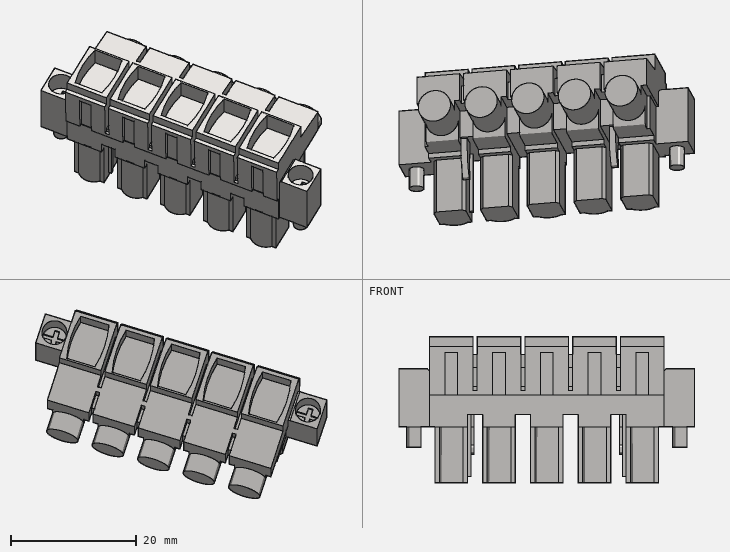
import cadquery as cq


overall_length = 47.15
body_length = 37.45
pole_count = 5
pole_width = 7.0
pitch = (body_length - pole_width) / (pole_count - 1)
pole_centers = [(i - (pole_count - 1) / 2) * pitch for i in range(pole_count)]
gap_centers = [x + pitch / 2 for x in pole_centers[:-1]]
gap_width = pitch - pole_width
end_poles = [(pole_centers[0], 1), (pole_centers[-1], -1)]

base_bottom = 8.95
base_rear_bottom = 9.75
notch_top = 10.9
lip_bottom = 14.05
block_bottom = 15.4
slope_low = 20.0
slope_high = 20.7
lip_top = 21.75
block_top = 23.35

lip_top_front = -0.65
lip_bottom_front = -0.42
base_step_rear = 7.2
tower_rear = 8.25
base_rear = 10.1
holder_rear = 11.5
block_rear = 14.55
barrel_rear = 17.65

leg_width = 5.25
leg_front = 0.1
leg_rear = 6.2
leg_flat_front = 0.9
leg_chamfer = 0.5
holder_fillet = 0.45
barrel_radius = 2.65
barrel_height = 13.5
side_inset = 0.4

well_front = 0.6
well_rear = 7.95
well_end_width = 4.7
well_middle_width = 5.6
well_depth = 3.25
recess_width = 2.05
recess_top = 20.8
recess_floor = 0.1

gap_floor = 18.45
front_gap_floor = 14.75
front_gap_rear = 0.75
web_front = 10.15
web_rear = 10.95
septum_rear = 13.2

rib_size = 0.55
rib_front = 2.45
rib_bottom = 1.0
latch_thickness = 1.05
latch_root_rear = 9.53
latch_neck_front = 7.35
latch_inner_face = 7.75
latch_inner_top = 7.75
latch_inner_bottom = 6.1
latch_back_middle = (9.2, 7.0)
latch_tip_rear = (8.1, 4.8)
latch_tip_middle = (7.55, 4.57)
latch_tip_front = (7.25, 4.9)
latch_hook_middle = (7.2, 5.35)

flange_front = 0.42
flange_depth = 5.1
flange_top = 18.25
flange_chamfer = 0.35
flange_length = (overall_length - body_length) / 2
screw_x = 21.2
screw_y = flange_front + flange_depth / 2
shaft_radius = 1.2
head_radius = 2.0
head_height = 1.4
head_recess = 3.55
head_top = flange_top - head_recess
screw_bottom = 5.65
slot_width = 0.6
cross_width = 0.75
cross_length = 2.85
drive_depth = 0.45


def box(x_range, y_range, z_range):
    """Box between two corners, given as (low, high) pairs."""
    size = [high - low for low, high in (x_range, y_range, z_range)]
    return cq.Workplane("XY").box(*size, centered=False).translate((x_range[0], y_range[0], z_range[0]))


def centered_box(x, width, y_range, z_range):
    return box((x - width / 2, x + width / 2), y_range, z_range)


def side_plate(x, width):
    """YZ sketch plane whose extrusion by `width` is centred on x."""
    return cq.Workplane("YZ", origin=(x - width / 2, 0, 0))


def cylinder(x, y, z_range, radius):
    low, high = z_range
    return cq.Workplane("XY", origin=(x, y, low)).circle(radius).extrude(high - low)


def make_upper_row():
    """Row of terminal blocks with a sloping rear roof and a tapering front lip."""
    profile = [
        (0, block_bottom),
        (0, lip_bottom),
        (lip_bottom_front, lip_bottom),
        (lip_top_front, lip_top),
        (0, lip_top),
        (0, block_top),
        (tower_rear, block_top),
        (tower_rear, slope_high),
        (block_rear, slope_low),
        (block_rear, block_bottom),
    ]
    return side_plate(0, body_length).polyline(profile).close().extrude(body_length)


def make_base():
    """Base slab with a raised rear underside, inset ends and notches between the legs."""
    profile = [
        (0, base_bottom),
        (base_step_rear, base_bottom),
        (base_step_rear, base_rear_bottom),
        (base_rear, base_rear_bottom),
        (base_rear, block_bottom),
        (0, block_bottom),
    ]
    base = side_plate(0, body_length).polyline(profile).close().extrude(body_length)
    for side in (-1, 1):
        base = base.cut(
            centered_box(side * body_length / 2, 2 * side_inset,
                         (flange_front + flange_depth, base_rear), (base_bottom, block_bottom))
        )
    for x in gap_centers:
        base = base.cut(centered_box(x, pitch - leg_width, (0, base_rear), (base_bottom, notch_top)))
    return base


def make_leg(x):
    """Leg with chamfered rear edges and a rounded front boss between two flats."""
    leg = centered_box(x, leg_width, (leg_flat_front, leg_rear), (0, base_bottom))
    leg = leg.edges("|Z and >Y").chamfer(leg_chamfer)
    boss_radius = leg_width / 2
    boss = cylinder(x, leg_front + boss_radius, (0, base_bottom), boss_radius)
    return leg.union(boss)


def make_holder(x):
    """Clamp holder behind the base, carrying a screw barrel with flattened sides."""
    holder = centered_box(x, leg_width, (base_rear, holder_rear), (base_rear_bottom, block_bottom))
    holder = holder.edges("|X and >Y and <Z").fillet(holder_fillet)
    shoulder = centered_box(x, leg_width, (base_rear, block_rear), (barrel_height, block_bottom))
    barrel = (
        cq.Workplane("XZ", origin=(x, base_rear, barrel_height))
        .circle(barrel_radius)
        .extrude(base_rear - barrel_rear)
    )
    flats = centered_box(x, leg_width, (base_rear, barrel_rear), (0, block_top))
    return holder.union(shoulder).union(barrel.intersect(flats))


def make_well(x):
    """Wire-entry pocket with bowed left and right walls."""
    middle = (well_front + well_rear) / 2
    end = well_end_width / 2
    bulge = well_middle_width / 2
    return (
        cq.Workplane("XY", origin=(x, 0, block_top - well_depth))
        .moveTo(-end, well_front)
        .lineTo(end, well_front)
        .threePointArc((bulge, middle), (end, well_rear))
        .lineTo(-end, well_rear)
        .threePointArc((-bulge, middle), (-end, well_front))
        .close()
        .extrude(well_depth)
    )


def make_recess(x):
    """Shallow window through the front lip, open at the underside of the lip."""
    return centered_box(x, recess_width, (lip_top_front, recess_floor), (lip_bottom, recess_top))


def make_gap(x):
    """Space between two poles: stepped in front of the web, open at the rear."""
    steps = [
        ((lip_top_front, front_gap_rear), front_gap_floor),
        ((front_gap_rear, web_front), gap_floor),
        ((web_rear, septum_rear), gap_floor),
        ((septum_rear, block_rear), block_bottom),
    ]
    gap = cq.Workplane("XY")
    for y_range, floor in steps:
        gap = gap.add(centered_box(x, gap_width, y_range, (floor, block_top)))
    return gap.combine()


def make_rib(x, inward):
    """Keying rib on the inner side of an end leg."""
    rib_x = x + inward * (leg_width + rib_size) / 2
    return centered_box(rib_x, rib_size, (rib_front, rib_front + rib_size), (rib_bottom, notch_top))


def make_latch(x, inward):
    """Curved latch arm hanging in the notch beside an end leg."""
    latch_x = x + inward * (leg_width + latch_thickness) / 2
    return (
        side_plate(latch_x, latch_thickness)
        .moveTo(base_step_rear, notch_top)
        .lineTo(latch_root_rear, notch_top)
        .lineTo(latch_root_rear, base_rear_bottom)
        .threePointArc(latch_back_middle, latch_tip_rear)
        .threePointArc(latch_tip_middle, latch_tip_front)
        .threePointArc(latch_hook_middle, (latch_inner_face, latch_inner_bottom))
        .lineTo(latch_inner_face, latch_inner_top)
        .lineTo(latch_neck_front, base_bottom)
        .lineTo(base_step_rear, base_bottom)
        .close()
        .extrude(latch_thickness)
    )


def make_flange(side):
    """End flange with a counterbored hole for its screw; side is -1 or 1."""
    center = side * (body_length + flange_length) / 2
    flange = centered_box(
        center, flange_length, (flange_front, flange_front + flange_depth), (base_bottom, flange_top)
    )
    inner_edge = "|Y and >Z and <X" if side > 0 else "|Y and >Z and >X"
    flange = flange.edges(inner_edge).chamfer(flange_chamfer)
    bore = cylinder(side * screw_x, screw_y, (head_top - head_height, flange_top), head_radius)
    hole = cylinder(side * screw_x, screw_y, (base_bottom, flange_top), shaft_radius)
    return flange.cut(bore).cut(hole)


def make_housing():
    upper = make_upper_row()
    for x in pole_centers:
        upper = upper.cut(make_well(x))
    for x in gap_centers:
        upper = upper.cut(make_gap(x))
    housing = make_base().union(upper)
    for x in pole_centers:
        housing = housing.cut(make_recess(x))
        housing = housing.union(make_leg(x)).union(make_holder(x))
    for x, inward in end_poles:
        housing = housing.union(make_rib(x, inward)).union(make_latch(x, inward))
    for side in (-1, 1):
        housing = housing.union(make_flange(side))
    return housing


def make_screw(side):
    """Flange screw with a slot across its head and a shorter cross slot."""
    x = side * screw_x
    shaft = cylinder(x, screw_y, (screw_bottom, head_top), shaft_radius)
    head = cylinder(x, screw_y, (head_top - head_height, head_top), head_radius)
    drive_range = (head_top - drive_depth, head_top)
    slot = centered_box(
        x, 2 * head_radius, (screw_y - slot_width / 2, screw_y + slot_width / 2), drive_range
    )
    cross = centered_box(
        x, cross_width, (screw_y - cross_length / 2, screw_y + cross_length / 2), drive_range
    )
    return shaft.union(head).cut(slot).cut(cross)


housing = make_housing()
screws = [make_screw(side) for side in (-1, 1)]

result = cq.Compound.makeCompound([housing.val(), *[screw.val() for screw in screws]])